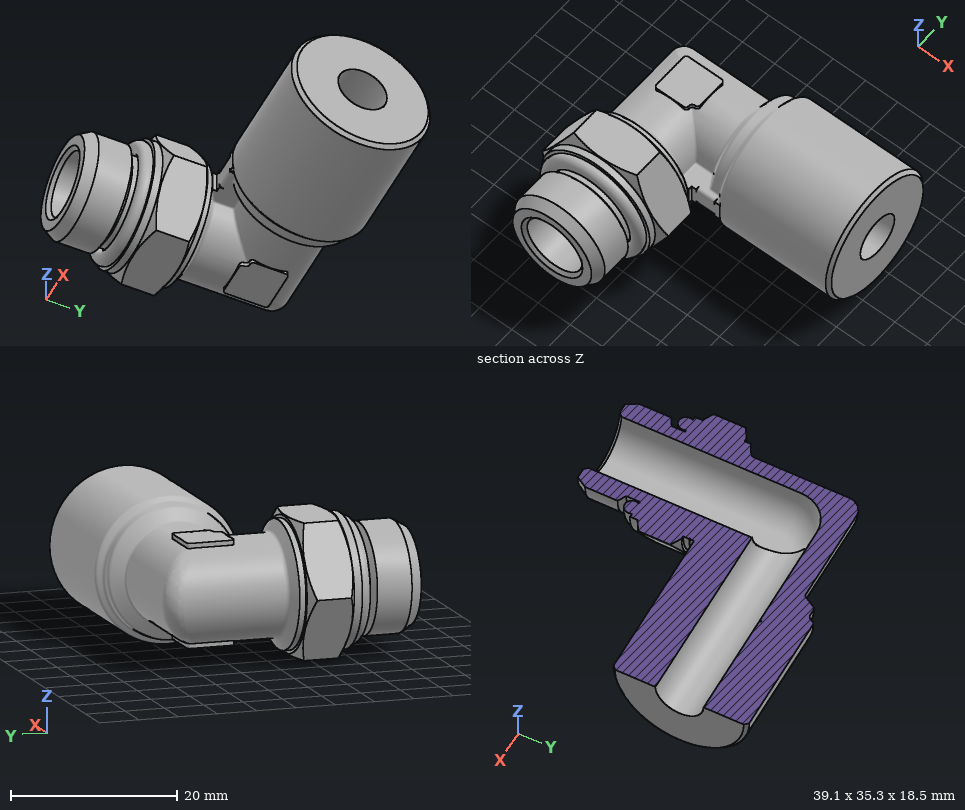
import cadquery as cq
import math


leg_radius = 6.4
elbow_fillet = 2.0
shoulder_start = 8.95
cone_angle = math.radians(60)
tolerance = 0.1

stud_end = 26.0
stud_bore_diameter = 8.5
stud_bore_chamfer = 0.5
stud_bore_ball_center = 1.0
thread_radius = 7.0
thread_start = 20.1
thread_chamfer_length = 1.5
thread_chamfer_angle = math.radians(30)
undercut_radius = 5.9
undercut_end = 19.5
flange_radius = 8.4
flange_face = 17.7
hex_across_flats = 17.0
hex_near = 10.66
hex_far = 16.67
hex_face_radius = 8.4
hex_chamfer_angle = math.radians(30)
collar_radius = 8.0
collar_root_fillet = 0.5
oring_section_radius = 1.0
oring_center_radius = 7.0
oring_center = 18.15

socket_end = 29.305
socket_bore_diameter = 6.5
socket_radius = 9.25
socket_start = 12.05
socket_end_chamfer = 0.5
ring_radius = 8.3
ring_edge_fillet = 0.5
ring_root_fillet = 0.5
socket_root_fillet = 0.35

web_thickness = 3.0
web_depth = 9.25
web_end = 12.35
web_stock_depth = 9.8
web_stock_end = 14.0
web_edge_radius = 0.5
web_edge_start = 8.7
web_edge_end = 11.55
web_root_fillet = 0.3

pad_height = 6.5
pad_size = 6.0
pad_low = -2.5
pad_notch = 1.0
pad_corner_radius = 0.45


def cone_length(small_radius, large_radius):
    """Axial length of a shoulder cone between two radii."""
    return (large_radius - small_radius) / math.tan(cone_angle)


def edges_inside(low, high):
    """Selector for the edges that lie wholly in the box between two corners."""
    return cq.selectors.BoxSelector(low, high, boundingbox=True)


def make_elbow():
    """Two equal cylinders mitred at the origin."""
    path = cq.Workplane("XY").moveTo(0, -shoulder_start).lineTo(0, 0).lineTo(shoulder_start, 0)
    return (
        cq.Workplane("XZ", origin=(0, -shoulder_start, 0)).circle(leg_radius)
        .sweep(path, transition="right")
    )


def make_pads():
    """Flat pads with a notch at the inner corner, as one block through the elbow."""
    high = pad_low + pad_size
    outline = [
        (pad_low, -pad_low),
        (high, -pad_low),
        (high, pad_notch - high),
        (high - pad_notch, pad_notch - high),
        (high - pad_notch, -high),
        (pad_low, -high),
    ]
    return (
        cq.Workplane("XY").polyline(outline).close().extrude(pad_height, both=True)
        .edges("|Z").fillet(pad_corner_radius)
    )


def make_stud():
    """Everything of revolution on the stud leg, plus its hexagon."""
    thread_end_radius = thread_radius - thread_chamfer_length * math.tan(thread_chamfer_angle)
    collar_start = shoulder_start + cone_length(leg_radius, collar_radius)
    outline = [
        (0, shoulder_start),
        (leg_radius, shoulder_start),
        (collar_radius, collar_start),
        (collar_radius, hex_near),
        (flange_radius, hex_near),
        (flange_radius, flange_face),
        (undercut_radius, flange_face),
        (undercut_radius, undercut_end),
        (thread_radius, thread_start),
        (thread_radius, stud_end - thread_chamfer_length),
        (thread_end_radius, stud_end),
        (0, stud_end),
    ]
    section = cq.Workplane("XY").polyline([(radius, -place) for radius, place in outline]).close()
    turned = section.revolve(360, (0, 0), (0, 1))
    oring_height = oring_center - flange_face
    oring_half_width = math.sqrt(oring_section_radius**2 - oring_height**2)
    oring = (
        cq.Workplane("XY").moveTo(oring_center_radius - oring_half_width, -flange_face)
        .threePointArc(
            (oring_center_radius, -oring_center - oring_section_radius),
            (oring_center_radius + oring_half_width, -flange_face),
        )
        .close()
        .revolve(360, (0, 0), (0, 1))
    )
    return turned.union(make_hexagon()).union(oring)


def make_hexagon():
    """Hexagon with corners toward +X and -X and both faces chamfered."""
    corner_radius = hex_across_flats / (2 * math.cos(math.pi / 6))
    chamfer_length = (corner_radius - hex_face_radius) * math.tan(hex_chamfer_angle)
    prism = (
        cq.Workplane("XZ").workplane(offset=hex_near).polygon(6, 2 * corner_radius)
        .extrude(hex_far - hex_near)
    )
    chamfer_outline = [
        (0, -hex_near),
        (hex_face_radius, -hex_near),
        (corner_radius, -hex_near - chamfer_length),
        (corner_radius, -hex_far + chamfer_length),
        (hex_face_radius, -hex_far),
        (0, -hex_far),
    ]
    envelope = cq.Workplane("XY").polyline(chamfer_outline).close().revolve(360, (0, 0), (0, 1))
    return prism.intersect(envelope)


def make_socket():
    """Stepped socket barrel with rounded shoulders."""
    ring_start = shoulder_start + cone_length(leg_radius, ring_radius)
    ring_end = socket_start - cone_length(ring_radius, socket_radius)
    outline = [
        (shoulder_start, 0),
        (shoulder_start, leg_radius),
        (ring_start, ring_radius),
        (ring_end, ring_radius),
        (socket_start, socket_radius),
        (socket_end, socket_radius),
        (socket_end, 0),
    ]
    barrel = cq.Workplane("XY").polyline(outline).close().revolve(360, (0, 0), (1, 0))
    barrel = barrel.faces(">X").edges().chamfer(socket_end_chamfer)
    reach = socket_radius + tolerance
    for place, fillet in (
        (ring_start, ring_edge_fillet),
        (ring_end, ring_root_fillet),
        (socket_start, ring_edge_fillet),
    ):
        low = (place - tolerance, -reach, -reach)
        high = (place + tolerance, reach, reach)
        barrel = barrel.edges(edges_inside(low, high)).fillet(fillet)
    return barrel


def make_web_stock():
    """Plate in the inner corner, longer and deeper than the finished web."""
    return (
        cq.Workplane("XY").box(web_stock_end, web_stock_depth, web_thickness, centered=(False, False, True))
        .translate((0, -web_stock_depth, 0))
    )


def make_web_trim():
    """Waste below the web, and around the barrel past the end of the web."""
    below = (
        cq.Workplane("XY").rect(web_end - collar_radius, hex_near - web_depth)
        .extrude(web_thickness, both=True)
        .translate(((web_end + collar_radius) / 2, -(hex_near + web_depth) / 2, 0))
    )
    beyond = (
        cq.Workplane("YZ", origin=(web_end, 0, 0)).circle(2 * socket_radius).circle(socket_radius)
        .extrude(web_stock_end)
    )
    return below.union(beyond)


def make_web_edge_cut():
    """Corner waste that leaves rounded lower web edges along part of the web."""
    half = web_thickness / 2
    corner = (
        cq.Workplane("YZ", origin=(web_edge_start, 0, 0))
        .moveTo(-web_depth, half - web_edge_radius)
        .radiusArc((-web_depth + web_edge_radius, half), web_edge_radius)
        .lineTo(-web_depth + web_edge_radius, half + web_edge_radius)
        .lineTo(-web_depth, half + web_edge_radius)
        .close()
        .extrude(web_edge_end - web_edge_start)
    )
    return corner.union(corner.mirror("XY"))


def make_bores():
    """Ball-ended bore of the stud leg meeting the plain bore of the socket leg."""
    stud_bore_radius = stud_bore_diameter / 2
    mouth_radius = stud_bore_radius + stud_bore_chamfer
    ball_top = -stud_bore_ball_center + stud_bore_radius
    stud_bore = (
        cq.Workplane("XY").moveTo(0, ball_top)
        .radiusArc((stud_bore_radius, -stud_bore_ball_center), stud_bore_radius)
        .lineTo(stud_bore_radius, -stud_end + stud_bore_chamfer)
        .lineTo(mouth_radius, -stud_end)
        .lineTo(0, -stud_end)
        .close()
        .revolve(360, (0, 0), (0, 1))
    )
    socket_bore = cq.Workplane("YZ").circle(socket_bore_diameter / 2).extrude(socket_end)
    return stud_bore.union(socket_bore)


def blend_shoulder_roots(body):
    """Fillet where each shoulder cone rises from the elbow."""
    reach = leg_radius + tolerance
    near = shoulder_start - tolerance
    far = shoulder_start + tolerance
    body = body.edges(edges_inside((-reach, -far, -reach), (reach, -near, reach))).fillet(collar_root_fillet)
    return body.edges(edges_inside((near, -reach, -reach), (far, reach, reach))).fillet(socket_root_fillet)


def blend_outer_corner(body):
    """Round the outer mitre edge up to the pads."""
    outer = leg_radius + tolerance
    inner = -pad_low - 2 * tolerance
    corner_edges = body.edges(edges_inside((-outer, inner, -outer), (-inner, outer, outer)))
    return corner_edges.edges("%ELLIPSE").fillet(elbow_fillet)


def blend_web_roots(body):
    """Fillet the web faces into the legs, and the seam of the legs up to the pads."""
    seam_start = pad_low + pad_size - pad_notch + tolerance
    web_face = web_thickness / 2 - tolerance
    for low_z, high_z in ((web_face, leg_radius), (-leg_radius, -web_face)):
        low = (seam_start, -web_stock_depth - tolerance, low_z)
        high = (web_stock_end - tolerance, -seam_start, high_z)
        body = body.edges(edges_inside(low, high)).fillet(web_root_fillet)
    return body


body = make_elbow().union(make_stud()).union(make_socket())
body = blend_shoulder_roots(body)
body = body.union(make_web_stock()).union(make_pads())
body = blend_outer_corner(body)
body = blend_web_roots(body)
body = body.cut(make_web_trim()).cut(make_web_edge_cut())
result = body.cut(make_bores())